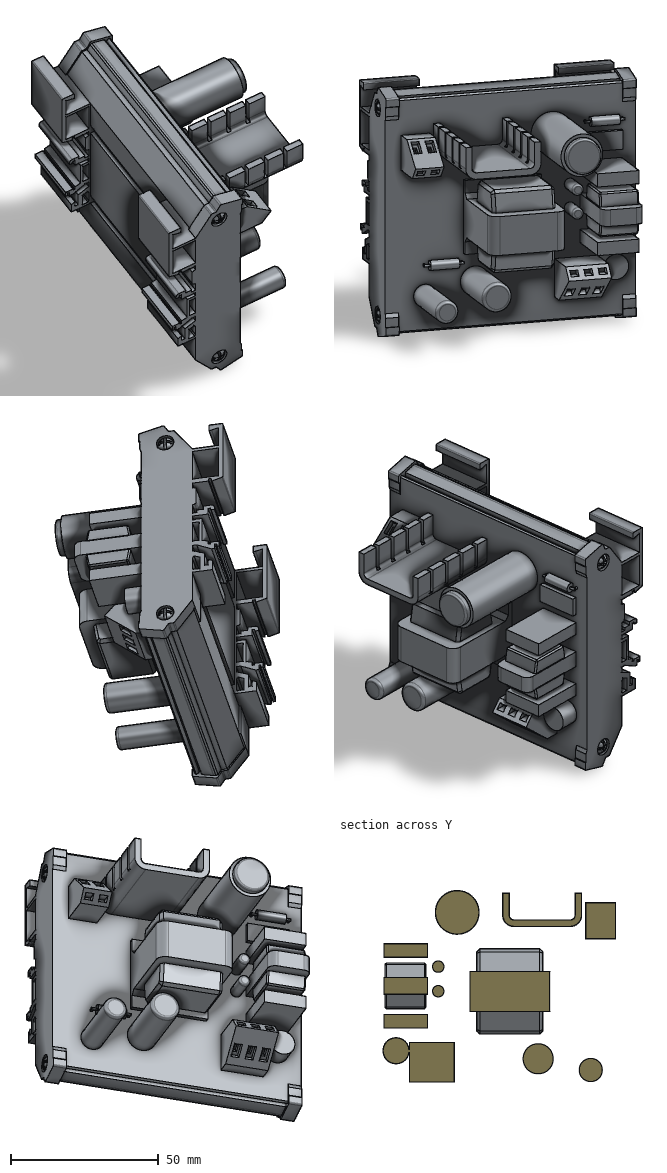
import cadquery as cq
import math


OVERALL_X = 90.3
PLATE_OUTER_X = 44.5
PLATE_THICKNESS = 4.7
PLATE_INNER_X = PLATE_OUTER_X - PLATE_THICKNESS
PLATE_BREAK_Z = 32.1
PLATE_FRONT_Y = 18.6
PLATE_TIP_Y = 9.9
PLATE_TIP_Z = 43.5
PLATE_FILLET = 0.5

BOARD_Y = 17.7
TRAY_BACK_Y = 0.6
GROOVE_DEPTH = 1.45
GROOVE_INNER_Z = 16.5
GROOVE_OUTER_Z = 20.4
FLANGE_INNER_X = 32.0

FOOT_WIDTH = 19.8
FOOT_BACK_Y = -10.6
FOOT_TOP_Z = 41.2

SCREW_Y = 9.4
SCREW_Z = 36.1
SCREW_RADIUS = 3.0
SCREW_SLOT_WIDTH = 0.9
SCREW_SLOT_DEPTH = 1.1

EMBED = 0.2
WAIST_INSET = 0.45


def prism(points, x_start, x_end):
    """Extrude a closed (y, z) outline along X."""
    return cq.Workplane("YZ").workplane(offset=x_start).polyline(points).close().extrude(x_end - x_start)


def block(x_range, y_range, z_range):
    """Axis-aligned box from three (low, high) pairs."""
    size = [high - low for low, high in (x_range, y_range, z_range)]
    return cq.Workplane("XY").box(*size, centered=False).translate((x_range[0], y_range[0], z_range[0]))


def upright_cylinder(x, z, radius, top_y, rim_fillet=0.0):
    """Cylinder standing on the board, axis along Y."""
    base_y = BOARD_Y - EMBED
    body = cq.Workplane("XZ", origin=(x, base_y, z)).circle(radius).extrude(base_y - top_y)
    if rim_fillet:
        body = body.faces(">Y").edges().fillet(rim_fillet)
    return body


def mirror_z(half_outline):
    """Complete an outline listed from top to bottom by its mirror image in Z."""
    return half_outline + [(y, -z) for y, z in reversed(half_outline)]


def fillet_corners(body, corners, radius):
    """Fillet the edges along X that run through the given (y, z) corners."""
    tolerance = 0.1
    reach = OVERALL_X
    for y, z in corners:
        low = (-reach, y - tolerance, z - tolerance)
        high = (reach, y + tolerance, z + tolerance)
        body = body.edges(cq.selectors.BoxSelector(low, high)).edges("|X").fillet(radius)
    return body


def end_plates():
    """Pair of end plates, each with a flange lapping over the back of the tray."""
    front_corner = (PLATE_FRONT_Y, 41.4)
    tip = (PLATE_TIP_Y, PLATE_TIP_Z)
    step_inner = (8.2, 40.8)
    step_outer = (6.3, 40.8)
    outline = mirror_z([
        (BOARD_Y, 33.7),
        (18.25, 35.1),
        (18.25, 38.4),
        (PLATE_FRONT_Y, 38.4),
        front_corner,
        tip,
        step_inner,
        step_outer,
        (0, PLATE_BREAK_Z),
    ])
    plate = prism(outline, PLATE_INNER_X, PLATE_OUTER_X)
    plate = fillet_corners(plate, mirror_z([front_corner, tip, step_inner, step_outer]), PLATE_FILLET)
    flange_z_range = (-PLATE_BREAK_Z, -GROOVE_OUTER_Z)
    flange = block((FLANGE_INNER_X, PLATE_OUTER_X), (0, TRAY_BACK_Y + EMBED), flange_z_range)
    right = plate.union(flange)
    return right.union(right.mirror("YZ"))


def tray():
    """Extruded carrier profile with two grooves along its back."""
    groove_y = TRAY_BACK_Y + GROOVE_DEPTH
    outline = mirror_z([
        (BOARD_Y, 40.3),
        (17.2, 40.9),
        (16.1, 39.9),
        (15.3, 39.6),
        (15.3, 41.2),
        (11.2, 42.3),
        (10.4, 42.4),
        (9.7, 42.1),
        (8.5, 40.2),
        (6.5, 40.2),
        (TRAY_BACK_Y, PLATE_BREAK_Z),
        (TRAY_BACK_Y, GROOVE_OUTER_Z),
        (groove_y, GROOVE_OUTER_Z),
        (groove_y, GROOVE_INNER_Z),
        (TRAY_BACK_Y, GROOVE_INNER_Z),
    ])
    return prism(outline, -PLATE_INNER_X, PLATE_INNER_X)


def rail_feet():
    """Pair of feet that clamp onto the mounting rail, one at each end."""
    hook_lip_y = -5.8
    clamp_inner_y = -9.0
    root_y = TRAY_BACK_Y + GROOVE_DEPTH + EMBED
    lip_corner = (hook_lip_y, FOOT_TOP_Z)
    top_corner = (FOOT_BACK_Y, FOOT_TOP_Z)
    lower_corner = (FOOT_BACK_Y, 18.3)
    tongue_corner = (-6.5, 17.2)
    pad_corner = (-1.4, 8.7)
    nose_corner = (-7.7, 7.05)
    small_fillet = 0.4
    pad_fillet = 0.8
    nose_fillet = 1.1
    outline = [
        (root_y, PLATE_BREAK_Z),
        (clamp_inner_y, PLATE_BREAK_Z),
        (clamp_inner_y, 39.5),
        (-6.7, 38.9),
        (hook_lip_y, 38.75),
        lip_corner,
        top_corner,
        lower_corner,
        tongue_corner,
        (-6.5, 18.3),
        (-5.6, 18.3),
        (-5.6, 17.4),
        (0, 17.4),
        (0, 15.6),
        (-1.4, 15.1),
        pad_corner,
        (0, 8.1),
        (0, 4.8),
        (-1.5, 4.8),
        (-1.5, 5.8),
        (-3.9, 5.8),
        (-3.9, 7.05),
        nose_corner,
        (-7.7, 5.1),
        (-6.5, 5.1),
        (-6.2, 5.8),
        (-5.5, 5.8),
        (-5.5, 3.4),
        (0, 3.4),
        (0, 1.9),
        (-3.3, 1.9),
        (-3.3, -7.4),
        (-5.5, -8.0),
        (-5.5, -9.2),
        (-6.1, -9.2),
        (-6.1, -8.7),
        (-9.2, -8.7),
        (-9.2, -10.7),
        (-8.4, -10.7),
        (-8.4, -9.8),
        (-7.8, -9.8),
        (-7.8, -11.6),
        (-6.7, -11.6),
        (-1.5, -9.0),
        (0, -9.0),
        (0, -11.2),
        (-4.25, -13.0),
        (-4.25, -18.2),
        (-5.5, -18.2),
        (-5.5, -15.9),
        (-7.0, -16.5),
        (-7.0, -GROOVE_OUTER_Z),
        (root_y, -GROOVE_OUTER_Z),
    ]
    windows = [
        [(0, 30.9), (clamp_inner_y, 30.9), (clamp_inner_y, 19.15), (0, 19.15)],
        [(0, 0.6), (-2.35, 0.6), (-2.35, -7.1), (0, -7.1)],
        [(0, -14.45), (-0.6, -13.55), (-2.6, -14.45), (-2.6, -19.2), (-0.4, -19.2), (0, -18.7)],
    ]
    inner_x = PLATE_OUTER_X - FOOT_WIDTH
    foot = prism(outline, inner_x, PLATE_OUTER_X)
    small_corners = [lip_corner, top_corner, lower_corner, tongue_corner]
    foot = fillet_corners(foot, small_corners, small_fillet)
    foot = fillet_corners(foot, [pad_corner], pad_fillet)
    foot = fillet_corners(foot, [nose_corner], nose_fillet)
    for window in windows:
        foot = foot.cut(prism(window, inner_x, PLATE_OUTER_X))
    root_trim = block((PLATE_INNER_X, PLATE_OUTER_X), (0, root_y), (-PLATE_BREAK_Z, PLATE_BREAK_Z))
    foot = foot.cut(root_trim)
    return foot.union(foot.mirror("YZ"))


def cut_screw_holes_and_add_heads(body):
    """Round-headed cross-slotted screws, half sunk in clearance holes of the end plates."""
    corner_height = math.sqrt(SCREW_RADIUS**2 - 2 * (SCREW_SLOT_WIDTH / 2) ** 2)
    centre_x = OVERALL_X / 2 - corner_height
    tip_x = centre_x + SCREW_RADIUS
    slot_span = 2 * SCREW_RADIUS
    hole = cq.Workplane("YZ").workplane(offset=centre_x).circle(SCREW_RADIUS).extrude(SCREW_RADIUS)
    head = cq.Workplane("XY").sphere(SCREW_RADIUS).translate((centre_x, 0, 0))
    for slot_y, slot_z in ((SCREW_SLOT_WIDTH, slot_span), (slot_span, SCREW_SLOT_WIDTH)):
        slot = cq.Workplane("XY").box(2 * SCREW_SLOT_DEPTH, slot_y, slot_z).translate((tip_x, 0, 0))
        head = head.cut(slot)
    for side in (-1, 1):
        for z in (-SCREW_Z, SCREW_Z):
            turn = 0 if side > 0 else 180
            placed_hole = hole.rotate((0, 0, 0), (0, 0, 1), turn).translate((0, SCREW_Y, z))
            placed_head = head.rotate((0, 0, 0), (0, 0, 1), turn).translate((0, SCREW_Y, z))
            body = body.cut(placed_hole).union(placed_head)
    return body


def core(x_range, top_y, z_range, corner_radius):
    """Transformer core limb with its two front edges rounded."""
    limb = block(x_range, (BOARD_Y - EMBED, top_y), z_range)
    return limb.faces(">Y").edges("|Z").fillet(corner_radius)


def coil(x_range, y_range, centre_z, half_height, waist, bulge, bevel):
    """Winding with an eight-cornered section whose front and back sides bulge towards the middle."""
    low, high = y_range
    shoulder = half_height - bevel
    front_half = [
        (low + bulge + bevel, half_height),
        (high - bulge - bevel, half_height),
        (high - bulge, shoulder),
        (high, waist),
    ]
    back_half = [(low, waist), (low + bulge, shoulder)]
    outline = back_half + front_half
    outline += [(y, -z) for y, z in reversed(outline)]
    winding = prism(outline, *x_range).translate((0, 0, centre_z))
    return winding.faces("<X or >X").chamfer(bevel)


def small_transformer():
    x_range = (-39.6, -24.75)
    plate_top_y = 36.8
    plate_inner_z = 9.7
    plate_outer_z = 14.3
    limb_half_z = 2.9
    limb_top_y = 42.5
    body = core(x_range, limb_top_y, (-limb_half_z, limb_half_z), corner_radius=2.7)
    winding = coil(
        x_range=(-39.2, -25.3), y_range=(22.5, 38.2), centre_z=0, half_height=7.8,
        waist=limb_half_z - WAIST_INSET, bulge=0.8, bevel=0.5,
    )
    body = body.union(winding)
    for z_range in ((plate_inner_z, plate_outer_z), (-plate_outer_z, -plate_inner_z)):
        body = body.union(block(x_range, (BOARD_Y - EMBED, plate_top_y), z_range))
    return body


def large_transformer():
    centre_z = -1.9
    x_range = (-10.5, 16.6)
    limb_half_z = 6.8
    limb_top_y = 47.2
    base_half_z = 12.9
    base_top_y = 19.3
    flare = 1.7
    body = core(x_range, limb_top_y, (centre_z - limb_half_z, centre_z + limb_half_z), corner_radius=3.3)
    winding = coil(
        x_range=(-8.1, 14.3), y_range=(23.9, 42.55), centre_z=centre_z, half_height=14.45,
        waist=limb_half_z - WAIST_INSET, bulge=1.2, bevel=1.1,
    )
    body = body.union(winding)
    base = block(x_range, (BOARD_Y - EMBED, base_top_y), (centre_z - base_half_z, centre_z + base_half_z))
    foot_flare = prism([
        (base_top_y + flare, limb_half_z),
        (base_top_y, limb_half_z + flare),
        (base_top_y, -limb_half_z - flare),
        (base_top_y + flare, -limb_half_z),
    ], *x_range).translate((0, 0, centre_z))
    return body.union(base).union(foot_flare)


def large_capacitor():
    x = -14.7
    z = 24.8
    can = upright_cylinder(x, z, radius=7.4, top_y=50.5)
    cap = upright_cylinder(x, z, radius=6.2, top_y=52.8, rim_fillet=0.7)
    return can.union(cap)


def heat_sink():
    """U-shaped profile open towards +Z, its walls slotted across at regular steps."""
    left_x = 0.6
    width = 26.7
    wall = 2.3
    bottom_z = 20.05
    top_z = 31.3
    front_y = 52.9
    inner_fillet = 1.6
    slot_width = 1.4
    slot_pitch = 7.6
    first_slot_y = 23.2
    slot_count = 4
    web_above_floor = 0.3
    slot_floor_z = bottom_z + wall + web_above_floor
    base_y = BOARD_Y - EMBED
    x_range = (left_x, left_x + width)
    body = block(x_range, (base_y, front_y), (bottom_z, top_z)).edges("|Y and <Z").fillet(inner_fillet + wall)
    channel = block(
        (left_x + wall, left_x + width - wall), (base_y, front_y), (bottom_z + wall, top_z)
    ).edges("|Y and <Z").fillet(inner_fillet)
    body = body.cut(channel)
    slot = cq.Workplane("XY").box(width, slot_width, top_z - slot_floor_z, centered=(False, True, False))
    for index in range(slot_count):
        body = body.cut(slot.translate((left_x, first_slot_y + index * slot_pitch, slot_floor_z)))
    return body


def connector(x_start, pin_count, short_face_z, direction, heel_y):
    """Screw terminal block: its two sloped faces carry one opening per pin."""
    pin_pitch = 5.1
    tip_y = 33.4
    tip_offset = 4.2
    shoulder_y = 29.8
    slope = 0.85
    opening = 2.8
    opening_depth = 1.8
    screw_depth = 0.9
    screw_z_span = 1.8
    entry_y_range = (24.8, 28.5)
    bore_width = 1.3
    bore_y_range = (25.8, 27.8)
    heel_offset = tip_offset + slope * (tip_y - heel_y)
    base_y = BOARD_Y - EMBED

    def along(offset):
        """Z at a distance from the short face."""
        return short_face_z + direction * offset

    outline = [
        (base_y, along(0)),
        (shoulder_y, along(0)),
        (tip_y, along(tip_offset)),
        (heel_y, along(heel_offset)),
        (base_y, along(heel_offset)),
    ]
    body = prism(outline, x_start, x_start + pin_count * pin_pitch)

    def long_slope_pocket(y_range, depth):
        """Outline of a pocket sunk at right angles into the long slope."""
        drop_y = depth * slope / math.hypot(1, slope)
        drop_offset = depth / math.hypot(1, slope)
        low, high = y_range
        return [
            (y + side * drop_y, along(tip_offset + slope * (tip_y - y) + side * drop_offset))
            for y, side in ((low, -1), (low, 1), (high, 1), (high, -1))
        ]

    screw_offset = (tip_offset - screw_z_span) / 2
    screw_floor_y = shoulder_y - screw_depth
    screw = [
        (screw_floor_y, along(screw_offset)),
        (tip_y, along(screw_offset)),
        (tip_y, along(screw_offset + screw_z_span)),
        (screw_floor_y, along(screw_offset + screw_z_span)),
    ]
    entry = long_slope_pocket(entry_y_range, opening_depth)
    bore = long_slope_pocket(bore_y_range, 2 * opening_depth)
    for pin in range(pin_count):
        opening_x = x_start + (pin + 0.5) * pin_pitch - opening / 2
        for pocket in (entry, screw):
            body = body.cut(prism(pocket, opening_x, opening_x + opening))
        bore_x = opening_x + (opening - bore_width) / 2
        body = body.cut(prism(bore, bore_x, bore_x + bore_width))
    return body


def resistor(x_start, z):
    """Axial resistor lying along X, with leads bent down to the board."""
    length = 10.2
    radius = 1.7
    axis_y = 19.1
    lead_radius = 0.45
    lead_reach = 2.0
    body = cq.Workplane("YZ", origin=(x_start, axis_y, z)).circle(radius).extrude(length)
    lead_start = x_start - lead_reach
    lead_length = length + 2 * lead_reach
    lead = cq.Workplane("YZ", origin=(lead_start, axis_y, z)).circle(lead_radius).extrude(lead_length)
    body = body.union(lead)
    for leg_x in (lead_start + lead_radius, lead_start + lead_length - lead_radius):
        body = body.union(upright_cylinder(leg_x, z, lead_radius, axis_y))
    return body


components = [
    small_transformer(),
    large_transformer(),
    large_capacitor(),
    heat_sink(),
    connector(x_start=28.7, pin_count=2, short_face_z=15.9, direction=1, heel_y=23.9),
    connector(x_start=-30.9, pin_count=3, short_face_z=-19.15, direction=-1, heel_y=22.6),
    resistor(x_start=-38.2, z=28.0),
    resistor(x_start=19.0, z=-17.7),
    block(x_range=(-39.6, -24.75), y_range=(BOARD_Y - EMBED, 19.3), z_range=(17.5, 24.1)),
    upright_cylinder(x=-35.4, z=-21.95, radius=4.4, top_y=24.6),
    upright_cylinder(x=-21.1, z=6.5, radius=2.0, top_y=26.8, rim_fillet=0.7),
    upright_cylinder(x=-21.1, z=-1.8, radius=2.0, top_y=26.8, rim_fillet=0.7),
    upright_cylinder(x=12.65, z=-24.7, radius=5.15, top_y=42.4, rim_fillet=1.1),
    upright_cylinder(x=30.4, z=-28.45, radius=4.0, top_y=42.4, rim_fillet=1.1),
]

result = cut_screw_holes_and_add_heads(end_plates().union(tray()).union(rail_feet()))
for component in components:
    result = result.union(component)